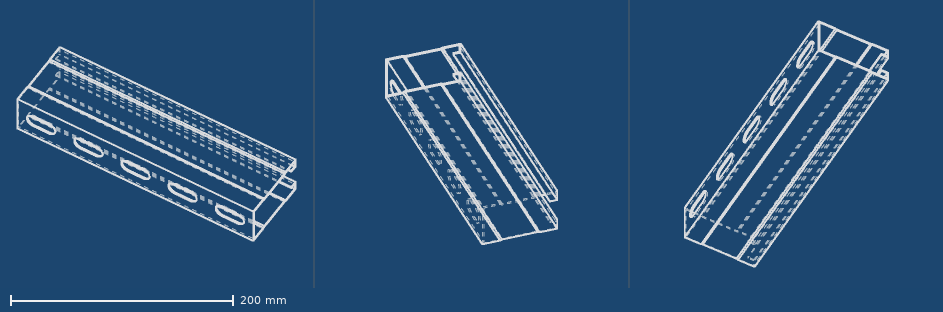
import cadquery as cq

length = 250.0
depth = 72.0
height = 41.2
wall = 1.5

lip_height = 10.0
lip_length = 7.2

step_inset = 17.0
step_run = 1.8
step_drop = 0.8

slot_count = 5
slot_pitch = length / slot_count
slot_length = 30.0
slot_height = 13.5

half_depth = depth / 2
half_height = height / 2


def flange_line(z_flat, y_start, y_end):
    """Stepped flange line in (Y, Z), from the web side to the lip side."""
    outer_step = half_depth - step_inset
    inner_step = outer_step - step_run
    return [
        (y_start, z_flat),
        (-outer_step, z_flat),
        (-inner_step, z_flat - step_drop),
        (inner_step, z_flat - step_drop),
        (outer_step, z_flat),
        (y_end, z_flat),
    ]


def upper_profile():
    """Upper half of the channel section: half web, flange and lip."""
    web_inside = -half_depth + wall
    lip_side_inside = half_depth - wall
    lip_bottom = half_height - lip_height
    lip_top = lip_bottom + wall
    lip_end = half_depth - lip_length
    outside = flange_line(half_height, -half_depth, half_depth)
    inside = flange_line(half_height - wall, web_inside, lip_side_inside)
    lip = [
        (half_depth, lip_bottom),
        (lip_end, lip_bottom),
        (lip_end, lip_top),
        (lip_side_inside, lip_top),
    ]
    return [(-half_depth, 0)] + outside + lip + inside[::-1] + [(web_inside, 0)]


def channel():
    """Lipped channel running along X, symmetric about Z = 0."""
    upper_half = cq.Workplane("YZ").polyline(upper_profile()).close().extrude(length / 2, both=True)
    return upper_half.union(upper_half.mirror("XY")).clean()


def web_slots():
    """Round-ended cutters that pass through the web only."""
    return (
        cq.Workplane("XZ", origin=(0, -half_depth + wall, 0))
        .rarray(slot_pitch, 2.5, slot_count, 1)
        .slot2D(slot_length, slot_height)
        .extrude(wall)
    )


result = channel().cut(web_slots())